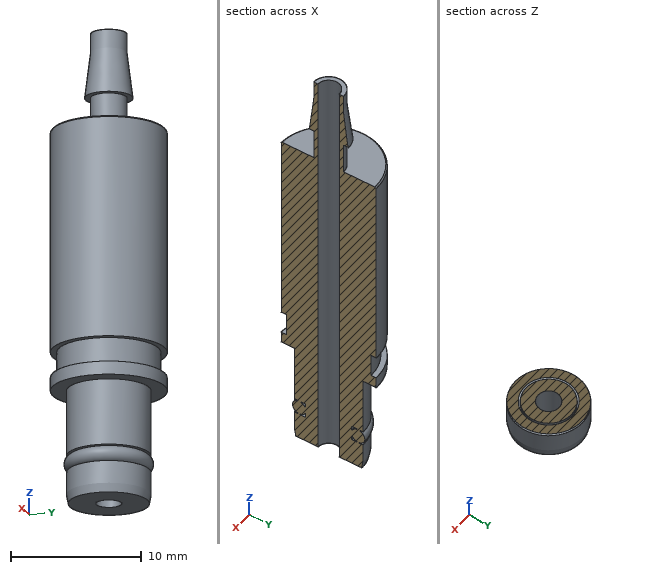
import cadquery as cq

total_height = 37.6
plug_taper_height = 0.68
groove_bottom = 2.5
groove_top = 3.8
flange_bottom = 9.02
flange_top = 10.08
body_bottom = 12.1
body_top = 29.78
barb_bottom = 32.5
barb_top = 36.1

body_diameter = 9.0
neck_diameter = 8.0
plug_diameter = 6.5
plug_tip_diameter = 6.25
ring_diameter = 6.88
nipple_diameter = 2.82
barb_diameter = 3.72
bore_diameter = 2.0

body_chamfer = 0.1
ring_tube_radius = (groove_top - groove_bottom) / 2
ring_embed = 0.08


def cylinder(diameter, bottom, top):
    """Solid cylinder about Z between two levels."""
    return cq.Workplane("XY").workplane(offset=bottom).circle(diameter / 2).extrude(top - bottom)


def cone(bottom_diameter, top_diameter, bottom, top):
    """Solid truncated cone about Z between two levels."""
    return cq.Workplane(
        cq.Solid.makeCone(bottom_diameter / 2, top_diameter / 2, top - bottom, pnt=cq.Vector(0, 0, bottom))
    )


def seal_ring():
    """Round-section ring seated in the plug groove."""
    center_radius = ring_diameter / 2 - ring_tube_radius
    center_height = (groove_bottom + groove_top) / 2
    section_plane = cq.Plane(origin=(0, 0, 0), xDir=(-1, 0, 0), normal=(0, 1, 0))
    section = cq.Workplane(section_plane).moveTo(-center_radius, center_height).circle(ring_tube_radius)
    return section.revolve(360, (0, 0), (0, 1))


groove_floor_diameter = ring_diameter - 4 * ring_tube_radius + 2 * ring_embed
plug = (
    cone(plug_tip_diameter, plug_diameter, 0, plug_taper_height)
    .union(cylinder(plug_diameter, plug_taper_height, groove_bottom))
    .union(cylinder(groove_floor_diameter, groove_bottom, groove_top))
    .union(cylinder(plug_diameter, groove_top, flange_bottom))
    .union(seal_ring())
)

flange = cylinder(body_diameter, flange_bottom, flange_top)
neck = cylinder(neck_diameter, flange_top, body_bottom)
body = cylinder(body_diameter, body_bottom, body_top).faces(">Z").edges().chamfer(body_chamfer)

nipple = cylinder(nipple_diameter, body_top, total_height)
barb = cone(barb_diameter, nipple_diameter, barb_bottom, barb_top)

bore = cylinder(bore_diameter, 0, total_height)

result = plug.union(flange).union(neck).union(body).union(nipple).union(barb).cut(bore)